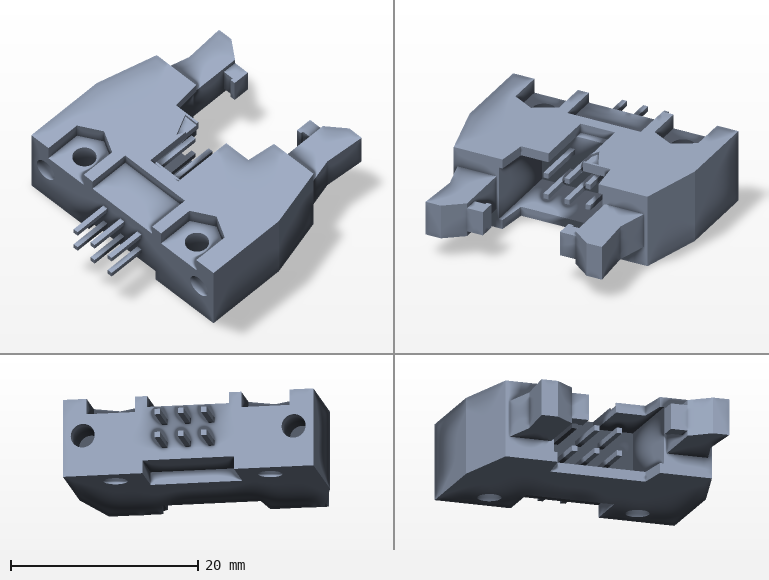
import cadquery as cq


HOUSING_WIDTH = 27.2
HOUSING_HEIGHT = 8.5
EAR_END = 17.25
SIDE_TAPER_START = 10.0
EAR_OUTER_END = 11.7
MOUTH_EDGE = 13.75
MOUTH_HALF_INNER = 5.4
MOUTH_HALF_OUTER = 5.8
MID_HEIGHT = HOUSING_HEIGHT / 2

WALL = 1.1
CAVITY_WIDTH = 12.5
CAVITY_FLOOR = 7.35
CAVITY_HEIGHT = HOUSING_HEIGHT - 2 * WALL

SLOT_WIDTH = 4.15
SLOT_END = 6.4
MARK_WIDTH = 2.5
MARK_LENGTH = 2.6
MARK_DEPTH = 0.3

PITCH = 2.54
PIN_SIZE = 0.6
PIN_TAIL = 4.55
PIN_TIP = 13.5

HOLE_DIAMETER = 2.6
MOUNT_X = 8.4
MOUNT_Y = 2.8
NUT_POCKET_WIDTH = 5.25
NUT_POCKET_SHOULDER = 4.35
NUT_POCKET_APEX = 5.8
NUT_POCKET_DEPTH = 1.7

FACE_HOLE_X = 11.45
FACE_HOLE_Z = 4.45
FACE_HOLE_DEPTH = 5.0

RECESS_LENGTH = 5.0
TOP_RECESS_WIDTH = 8.9
TOP_RECESS_DEPTH = 1.2
BOTTOM_RECESS_WIDTH = 9.95
BOTTOM_RECESS_DEPTH = 1.4

LATCH_THICKNESS = 4.0
LATCH_INNER = 6.55
LATCH_ROOT_OUTER = 11.25
LATCH_WAIST_OUTER = 10.3
LATCH_WAIST_Y = 20.8
LATCH_TOP_INNER = 8.8
LATCH_TOP_OUTER = 10.65
LATCH_TOP = 25.7
HOOK_THICKNESS = 2.85
HOOK_TIP = 4.65
HOOK_LIP_WIDTH = 0.6
HOOK_TOP = 23.95
HOOK_UNDERSIDE = 22.25
HOOK_LIP_END = 21.95


def box(x_min, x_max, y_min, y_max, z_min, z_max):
    """Axis-aligned block given by its limits."""
    block = cq.Workplane("XY").box(x_max - x_min, y_max - y_min, z_max - z_min, centered=False)
    return block.translate((x_min, y_min, z_min))


def plate(points, z_min, height):
    """Closed XY outline raised from z_min."""
    return cq.Workplane("XY").workplane(offset=z_min).polyline(points).close().extrude(height)


def mirrored(shape):
    """The shape together with its mirror image about the YZ plane."""
    return shape.union(shape.mirror("YZ"))


def housing_block():
    half_width = HOUSING_WIDTH / 2
    right_side = [
        (half_width, 0),
        (half_width, SIDE_TAPER_START),
        (EAR_OUTER_END, EAR_END),
        (MOUTH_HALF_OUTER, EAR_END),
        (MOUTH_HALF_INNER, MOUTH_EDGE),
    ]
    left_side = [(-x, y) for x, y in reversed(right_side)]
    return plate(right_side + left_side, 0, HOUSING_HEIGHT)


def cavity():
    half = CAVITY_WIDTH / 2
    return box(-half, half, CAVITY_FLOOR, EAR_END, WALL, WALL + CAVITY_HEIGHT)


def polarising_slot():
    half = SLOT_WIDTH / 2
    return box(-half, half, SLOT_END, MOUTH_EDGE, HOUSING_HEIGHT - WALL, HOUSING_HEIGHT)


def pin_one_mark():
    """Triangular recess pointing along -Y at the first pin column."""
    points = [
        (-PITCH - MARK_WIDTH / 2, PIN_TIP),
        (-PITCH + MARK_WIDTH / 2, PIN_TIP),
        (-PITCH, PIN_TIP - MARK_LENGTH),
    ]
    return plate(points, HOUSING_HEIGHT - MARK_DEPTH, MARK_DEPTH)


def mounting_cut():
    """Through hole with a pointed nut pocket open to the pin-side face."""
    half = NUT_POCKET_WIDTH / 2
    points = [
        (MOUNT_X - half, 0),
        (MOUNT_X + half, 0),
        (MOUNT_X + half, NUT_POCKET_SHOULDER),
        (MOUNT_X, NUT_POCKET_APEX),
        (MOUNT_X - half, NUT_POCKET_SHOULDER),
    ]
    pocket = plate(points, HOUSING_HEIGHT - NUT_POCKET_DEPTH, NUT_POCKET_DEPTH)
    hole = cq.Workplane("XY").center(MOUNT_X, MOUNT_Y).circle(HOLE_DIAMETER / 2).extrude(HOUSING_HEIGHT)
    return mirrored(pocket.union(hole))


def face_holes():
    hole = cq.Workplane("XZ").center(FACE_HOLE_X, FACE_HOLE_Z).circle(HOLE_DIAMETER / 2)
    return mirrored(hole.extrude(-FACE_HOLE_DEPTH))


def edge_recesses():
    top_half = TOP_RECESS_WIDTH / 2
    bottom_half = BOTTOM_RECESS_WIDTH / 2
    top = box(-top_half, top_half, 0, RECESS_LENGTH, HOUSING_HEIGHT - TOP_RECESS_DEPTH, HOUSING_HEIGHT)
    bottom = box(-bottom_half, bottom_half, 0, RECESS_LENGTH, 0, BOTTOM_RECESS_DEPTH)
    return top.union(bottom)


def pins():
    """Two rows of three square pins, centred on the cavity."""
    length = PIN_TAIL + PIN_TIP
    bars = cq.Workplane("XY").rarray(PITCH, 1, 3, 1).rect(PIN_SIZE, length).extrude(PIN_SIZE)
    bars = bars.translate((0, PIN_TIP - length / 2, MID_HEIGHT - PIN_SIZE / 2))
    lower_row = bars.translate((0, 0, -PITCH / 2))
    upper_row = bars.translate((0, 0, PITCH / 2))
    return lower_row.union(upper_row)


def latches():
    arm_points = [
        (LATCH_INNER, EAR_END),
        (LATCH_ROOT_OUTER, EAR_END),
        (LATCH_WAIST_OUTER, LATCH_WAIST_Y),
        (LATCH_TOP_OUTER, LATCH_TOP),
        (LATCH_TOP_INNER, LATCH_TOP),
        (LATCH_INNER, HOOK_TOP),
    ]
    hook_points = [
        (LATCH_INNER, HOOK_TOP),
        (HOOK_TIP, HOOK_TOP),
        (HOOK_TIP, HOOK_LIP_END),
        (HOOK_TIP + HOOK_LIP_WIDTH, HOOK_LIP_END),
        (HOOK_TIP + HOOK_LIP_WIDTH, HOOK_UNDERSIDE),
        (LATCH_INNER, HOOK_UNDERSIDE),
    ]
    arm = plate(arm_points, MID_HEIGHT - LATCH_THICKNESS / 2, LATCH_THICKNESS)
    hook = plate(hook_points, MID_HEIGHT - HOOK_THICKNESS / 2, HOOK_THICKNESS)
    return mirrored(arm.union(hook))


housing = housing_block()
for cut in (cavity(), polarising_slot(), pin_one_mark(), mounting_cut(), face_holes(), edge_recesses()):
    housing = housing.cut(cut)

result = housing.union(pins()).union(latches())